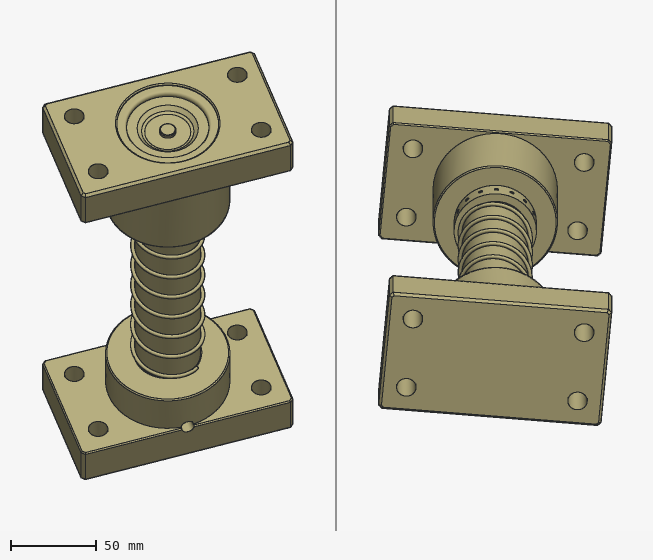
import cadquery as cq
import math

TOTAL_HEIGHT = 258.0
PLATE_TURN = 52.5

PLATE_LENGTH = 130.0
PLATE_WIDTH = 75.0
PLATE_THICKNESS = 25.0
CORNER_CHAMFER = 2.0
OUTER_FACE_CHAMFER = 1.5
INNER_FACE_CHAMFER = 0.8
BOLT_SPACING_LONG = 100.0
BOLT_SPACING_SHORT = 44.0
BOLT_HOLE_DIAMETER = 11.3

COLLAR_DIAMETER = 72.5
COLLAR_EDGE_CHAMFER = 0.8
BUSHING_DROP = 45.0
SPIGOT_DIAMETER = 59.3
SPIGOT_RECESS = 1.3
SPIGOT_BORE_CHAMFER = 0.8
BUSHING_LIP_RADIUS = 2.3
HOLDER_HEIGHT = 25.5
HOLDER_BORE_CHAMFER = 0.8

ACCESS_HOLE_DIAMETER = 7.5
ACCESS_HOLE_DEPTH = 7.7

PILLAR_DIAMETER = 38.2
CAGE_DIAMETER = 48.0
CAGE_DROP = 11.5
DIMPLE_COUNT = 16
DIMPLE_DIAMETER = 2.3
DIMPLE_DEPTH = 0.8
DIMPLE_HEIGHT = 6.2
DIMPLE_FIRST_ANGLE = 4.0

SPRING_TURNS = 7
SPRING_MEAN_DIAMETER = 41.0
WIRE_DIAMETER = 2.3

CAP_DEPTH = 4.5
CAP_THICKNESS = 6.5
CAP_RIM_RADIUS = 22.2
CAP_SLOPE_RADIUS = 17.8
CAP_SLOPE_DROP = 0.5
CAP_WALL_RADIUS = 15.2
CAP_WALL_DROP = 2.8
CAP_FLOOR_RADIUS = 13.5
CAP_FLOOR_DROP = 3.5
SCREW_DIAMETER = 9.5
SCREW_HEAD_HEIGHT = 2.3
SCREW_END_CHAMFER = 0.5

UPPER_PLATE_BOTTOM = TOTAL_HEIGHT - PLATE_THICKNESS
BUSHING_BOTTOM = UPPER_PLATE_BOTTOM - BUSHING_DROP
CAGE_BOTTOM = BUSHING_BOTTOM - CAGE_DROP
HOLDER_TOP = PLATE_THICKNESS + HOLDER_HEIGHT
SPIGOT_TOP = TOTAL_HEIGHT - SPIGOT_RECESS
CAP_TOP = TOTAL_HEIGHT - CAP_DEPTH
CAP_BOTTOM = CAP_TOP - CAP_THICKNESS


def cylinder(diameter, bottom, top):
    """Solid cylinder on the guide axis between two heights."""
    return cq.Workplane("XY").workplane(offset=bottom).circle(diameter / 2).extrude(top - bottom)


def make_plate(bottom, lower_chamfer, upper_chamfer):
    """Chamfered rectangular plate with four bolt holes, turned about the guide axis."""
    plate = (
        cq.Workplane("XY")
        .workplane(offset=bottom)
        .rect(PLATE_LENGTH, PLATE_WIDTH)
        .extrude(PLATE_THICKNESS)
        .edges("|Z")
        .chamfer(CORNER_CHAMFER)
        .faces("<Z")
        .edges()
        .chamfer(lower_chamfer)
        .faces(">Z")
        .edges()
        .chamfer(upper_chamfer)
    )
    bolt_holes = (
        cq.Workplane("XY")
        .workplane(offset=bottom)
        .rect(BOLT_SPACING_LONG, BOLT_SPACING_SHORT, forConstruction=True)
        .vertices()
        .circle(BOLT_HOLE_DIAMETER / 2)
        .extrude(PLATE_THICKNESS)
    )
    return plate.cut(bolt_holes).rotate((0, 0, 0), (0, 0, 1), PLATE_TURN)


def make_upper_plate():
    """Plate bored for the bushing spigot, with a chamfer at the top of the bore."""
    plate = make_plate(UPPER_PLATE_BOTTOM, INNER_FACE_CHAMFER, OUTER_FACE_CHAMFER)
    plate = plate.cut(cylinder(SPIGOT_DIAMETER, UPPER_PLATE_BOTTOM, TOTAL_HEIGHT))
    bore_rim = cq.selectors.RadiusNthSelector(-1)
    return plate.faces(">Z").edges("%CIRCLE").edges(bore_rim).chamfer(SPIGOT_BORE_CHAMFER)


def make_access_hole():
    """Round hole square to the long side of the plates, centred on the holder's seat."""
    floor_distance = COLLAR_DIAMETER / 2 - ACCESS_HOLE_DEPTH
    turn = math.radians(PLATE_TURN)
    outward = cq.Vector(math.sin(turn), -math.cos(turn), 0)
    start = outward * floor_distance + cq.Vector(0, 0, PLATE_THICKNESS)
    length = PLATE_WIDTH - floor_distance
    return cq.Workplane(cq.Solid.makeCylinder(ACCESS_HOLE_DIAMETER / 2, length, start, outward))


def make_lower_plate():
    """Plain plate with its half of the access hole."""
    return make_plate(0, OUTER_FACE_CHAMFER, INNER_FACE_CHAMFER).cut(make_access_hole())


def make_bushing():
    """Collar under the upper plate with a spigot up into it and a bore for the cage."""
    collar = (
        cylinder(COLLAR_DIAMETER, BUSHING_BOTTOM, UPPER_PLATE_BOTTOM)
        .faces("<Z")
        .edges()
        .chamfer(COLLAR_EDGE_CHAMFER)
    )
    body = collar.union(cylinder(SPIGOT_DIAMETER, UPPER_PLATE_BOTTOM, SPIGOT_TOP))
    bored = body.cut(cylinder(CAGE_DIAMETER, BUSHING_BOTTOM, SPIGOT_TOP))
    return bored.faces(">Z").edges(cq.selectors.RadiusNthSelector(0)).fillet(BUSHING_LIP_RADIUS)


def make_holder():
    """Collar on the lower plate that grips the pillar, with its half of the access hole."""
    collar = (
        cylinder(COLLAR_DIAMETER, PLATE_THICKNESS, HOLDER_TOP)
        .faces(">Z")
        .edges()
        .chamfer(COLLAR_EDGE_CHAMFER)
    )
    bored = collar.cut(cylinder(PILLAR_DIAMETER, PLATE_THICKNESS, HOLDER_TOP))
    bore_rim = cq.selectors.RadiusNthSelector(0)
    bored = bored.faces(">Z").edges(bore_rim).chamfer(HOLDER_BORE_CHAMFER)
    return bored.cut(make_access_hole())


def make_pillar():
    """Plain round pillar from the lower plate up to the cap."""
    return cylinder(PILLAR_DIAMETER, PLATE_THICKNESS, CAP_BOTTOM)


def make_cage():
    """Sleeve between pillar and bushing with a ring of dimples near its lower end."""
    cage = cylinder(CAGE_DIAMETER, CAGE_BOTTOM, CAP_BOTTOM)
    cage = cage.cut(cylinder(PILLAR_DIAMETER, CAGE_BOTTOM, CAP_BOTTOM))
    floor_distance = CAGE_DIAMETER / 2 - DIMPLE_DEPTH
    dimple_z = CAGE_BOTTOM + DIMPLE_HEIGHT
    for index in range(DIMPLE_COUNT):
        angle = math.radians(DIMPLE_FIRST_ANGLE + index * 360 / DIMPLE_COUNT)
        outward = cq.Vector(math.cos(angle), math.sin(angle), 0)
        start = outward * floor_distance + cq.Vector(0, 0, dimple_z)
        cage = cage.cut(
            cq.Workplane(cq.Solid.makeCylinder(DIMPLE_DIAMETER / 2, 2 * DIMPLE_DEPTH, start, outward))
        )
    return cage


def make_spring():
    """Left-handed coil between holder and cage, with both ends ground flat."""
    height = CAGE_BOTTOM - HOLDER_TOP
    mean_radius = SPRING_MEAN_DIAMETER / 2
    helix = cq.Wire.makeHelix(
        height / SPRING_TURNS, height, mean_radius, center=cq.Vector(0, 0, HOLDER_TOP), lefthand=True
    )
    coil = (
        cq.Workplane("XZ", origin=(mean_radius, 0, HOLDER_TOP))
        .circle(WIRE_DIAMETER / 2)
        .sweep(cq.Workplane(helix), isFrenet=True)
    )
    return coil.intersect(cylinder(COLLAR_DIAMETER, HOLDER_TOP, CAGE_BOTTOM))


def make_screw():
    """Round screw through the cap, standing above its floor."""
    head_top = CAP_TOP - CAP_FLOOR_DROP + SCREW_HEAD_HEIGHT
    return cylinder(SCREW_DIAMETER, CAP_BOTTOM, head_top).faces(">Z").edges().chamfer(SCREW_END_CHAMFER)


def make_cap():
    """Disc in the top of the bushing bore, dished in steps towards the screw."""
    screw_radius = SCREW_DIAMETER / 2
    floor = CAP_TOP - CAP_FLOOR_DROP
    profile = [
        (screw_radius, CAP_BOTTOM),
        (CAGE_DIAMETER / 2, CAP_BOTTOM),
        (CAGE_DIAMETER / 2, CAP_TOP),
        (CAP_RIM_RADIUS, CAP_TOP),
        (CAP_SLOPE_RADIUS, CAP_TOP - CAP_SLOPE_DROP),
        (CAP_WALL_RADIUS, CAP_TOP - CAP_WALL_DROP),
        (CAP_FLOOR_RADIUS, floor),
        (screw_radius, floor),
    ]
    return cq.Workplane("XZ").polyline(profile).close().revolve(360, (0, 0, 0), (0, 1, 0))


lower_plate = make_lower_plate()
upper_plate = make_upper_plate()
holder = make_holder()
bushing = make_bushing()
pillar = make_pillar()
cage = make_cage()
spring = make_spring()
cap = make_cap()
screw = make_screw()

result = cq.Compound.makeCompound(
    [
        lower_plate.val(),
        upper_plate.val(),
        holder.val(),
        bushing.val(),
        pillar.val(),
        cage.val(),
        spring.val(),
        cap.val(),
        screw.val(),
    ]
)